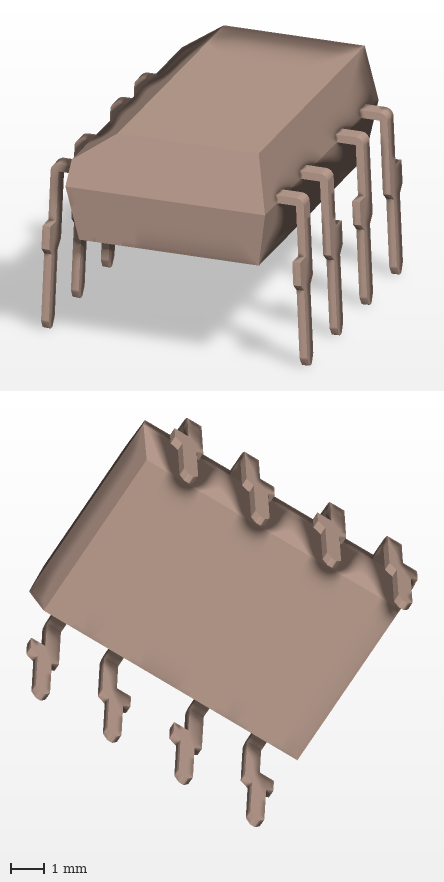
import cadquery as cq
import math


HOUSING_WIDTH = 6.4
HOUSING_LENGTH = 9.66
HOUSING_TOP = 1.84
HOUSING_BOTTOM = 1.81
DRAFT_ANGLE = 10.0
BEVEL_START_HEIGHT = 0.84
BEVEL_TOP_X = -1.64

LEADS_PER_ROW = 4
LEAD_PITCH = 2.54
ROW_SPAN = 7.62
LEAD_THICKNESS = 0.25
PIN_WIDTH = 0.5
SHOULDER_WIDTH = 2 * PIN_WIDTH
SPLAY_ANGLE = 2.5

SHOULDER_TOP = 1.62
SHOULDER_BOTTOM = 2.38
PIN_START = 2.62
TIP_START = 4.83
LEG_LENGTH = 5.12

TIP_ANGLE = 30.0
TIP_FLANK_RADIUS = 0.15
TIP_END_RADIUS = 0.07

DRAFT_SLOPE = math.tan(math.radians(DRAFT_ANGLE))
CORNER_X = ROW_SPAN / 2


def housing_half(height):
    """Half of the housing, growing up from the parting plane with drafted walls."""
    return (
        cq.Workplane("XY")
        .rect(HOUSING_WIDTH, HOUSING_LENGTH)
        .extrude(height, taper=DRAFT_ANGLE)
    )


def pin_one_bevel():
    """Wedge that removes the top edge along the -X side."""
    wall_x = -HOUSING_WIDTH / 2 + BEVEL_START_HEIGHT * DRAFT_SLOPE
    return (
        cq.Workplane("XZ")
        .moveTo(wall_x, BEVEL_START_HEIGHT)
        .lineTo(BEVEL_TOP_X, HOUSING_TOP)
        .lineTo(-HOUSING_WIDTH / 2, HOUSING_TOP)
        .lineTo(-HOUSING_WIDTH / 2, BEVEL_START_HEIGHT)
        .close()
        .extrude(HOUSING_LENGTH / 2, both=True)
    )


def make_housing():
    upper = housing_half(HOUSING_TOP).cut(pin_one_bevel())
    lower = housing_half(HOUSING_BOTTOM).mirror("XY")
    return upper.union(lower)


def lead_shank():
    """Horizontal part and round bend, from the drafted housing wall to the top of the leg."""
    wall_x = HOUSING_WIDTH / 2
    splay = math.radians(SPLAY_ANGLE)
    bend_middle = (math.pi / 2 + splay) / 2
    return (
        cq.Workplane("XZ")
        .moveTo(wall_x, 0)
        .lineTo(wall_x - LEAD_THICKNESS * DRAFT_SLOPE, LEAD_THICKNESS)
        .lineTo(CORNER_X, LEAD_THICKNESS)
        .threePointArc(
            (
                CORNER_X + LEAD_THICKNESS * math.cos(bend_middle),
                LEAD_THICKNESS * math.sin(bend_middle),
            ),
            (
                CORNER_X + LEAD_THICKNESS * math.cos(splay),
                LEAD_THICKNESS * math.sin(splay),
            ),
        )
        .lineTo(CORNER_X, 0)
        .close()
        .extrude(-PIN_WIDTH)
        .translate((0, -SHOULDER_WIDTH / 2, 0))
    )


def lead_leg():
    """Flat leg with a shoulder to +Y and a pointed pin, leaning outward about the bend corner."""
    shoulder_y = SHOULDER_WIDTH / 2
    pin_y = PIN_WIDTH / 2
    upper_inner_y = PIN_WIDTH - shoulder_y
    tip_y = pin_y - (LEG_LENGTH - TIP_START) * math.tan(math.radians(TIP_ANGLE))
    outline = [
        (-shoulder_y, 0),
        (upper_inner_y, 0),
        (upper_inner_y, -SHOULDER_TOP),
        (shoulder_y, -SHOULDER_TOP),
        (shoulder_y, -SHOULDER_BOTTOM),
        (pin_y, -PIN_START),
        (pin_y, -TIP_START),
        (tip_y, -LEG_LENGTH),
        (-tip_y, -LEG_LENGTH),
        (-pin_y, -TIP_START),
        (-pin_y, -PIN_START),
        (-shoulder_y, -SHOULDER_BOTTOM),
    ]
    leg = (
        cq.Workplane("YZ", origin=(CORNER_X, 0, 0))
        .polyline(outline)
        .close()
        .extrude(LEAD_THICKNESS)
    )
    flank_corners = cq.selectors.BoxSelector(
        (CORNER_X, -PIN_WIDTH, -(PIN_START + TIP_START) / 2),
        (CORNER_X + LEAD_THICKNESS, PIN_WIDTH, -(TIP_START + LEG_LENGTH) / 2),
    )
    leg = leg.edges("|X").edges(flank_corners).fillet(TIP_FLANK_RADIUS)
    leg = leg.faces("<Z").edges("|X").fillet(TIP_END_RADIUS)
    return leg.rotate((CORNER_X, 0, 0), (CORNER_X, 1, 0), -SPLAY_ANGLE)


def make_lead():
    """Lead of the +X row, its pin centred on Y = 0 and its shoulder pointing to +Y."""
    return lead_shank().union(lead_leg())


housing = make_housing()

plain_lead = make_lead()
flipped_lead = plain_lead.mirror("XZ")
leads = []
for index in range(LEADS_PER_ROW):
    lead = flipped_lead if index % 2 == 0 else plain_lead
    pin_center_y = (index - (LEADS_PER_ROW - 1) / 2) * LEAD_PITCH
    right_lead = lead.translate((0, pin_center_y, 0))
    left_lead = right_lead.mirror("YZ")
    leads += [right_lead.val(), left_lead.val()]

result = cq.Compound.makeCompound([housing.val(), *leads])